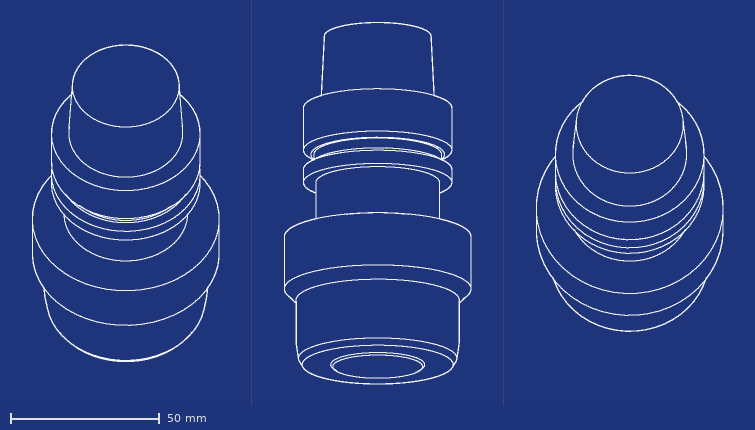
import cadquery as cq

NOSE_FACE_HEIGHT = 0.7
NOSE_BEVEL_TOP = 2.9
NOSE_TAPER_TOP = 8.5
NOSE_TOP = 23.1
BODY_BASE = 27.0
BODY_TOP = 45.2
NECK_BASE = 48.1
NECK_TOP = 64.0
LOWER_COLLAR_TOP = 68.7
GROOVE_FLARE_HEIGHT = 1.5
GROOVE_BASE = LOWER_COLLAR_TOP + GROOVE_FLARE_HEIGHT
UPPER_COLLAR_BASE = 75.3
GROOVE_TOP = UPPER_COLLAR_BASE - GROOVE_FLARE_HEIGHT
UPPER_COLLAR_TOP = 90.0
SHANK_TAPER_BASE = 91.9
TOTAL_HEIGHT = 115.0

NOSE_FACE_DIAMETER = 30.2
NOSE_FACE_RIM_DIAMETER = NOSE_FACE_DIAMETER + 2 * NOSE_FACE_HEIGHT
NOSE_BEVEL_SMALL_DIAMETER = 50.8
NOSE_BEVEL_LARGE_DIAMETER = 53.4
NOSE_DIAMETER = 55.0
BODY_DIAMETER = 62.9
NECK_DIAMETER = 41.6
COLLAR_DIAMETER = 50.0
GROOVE_DIAMETER = 43.0
GROOVE_RIM_DIAMETER = 45.0
SHANK_DIAMETER = 38.3
SHANK_END_DIAMETER = 36.0

profile = [
    (0, 0),
    (NOSE_FACE_DIAMETER, 0),
    (NOSE_FACE_RIM_DIAMETER, NOSE_FACE_HEIGHT),
    (NOSE_BEVEL_SMALL_DIAMETER, NOSE_FACE_HEIGHT),
    (NOSE_BEVEL_LARGE_DIAMETER, NOSE_BEVEL_TOP),
    (NOSE_DIAMETER, NOSE_TAPER_TOP),
    (NOSE_DIAMETER, NOSE_TOP),
    (BODY_DIAMETER, BODY_BASE),
    (BODY_DIAMETER, BODY_TOP),
    (NECK_DIAMETER, NECK_BASE),
    (NECK_DIAMETER, NECK_TOP),
    (COLLAR_DIAMETER, NECK_TOP),
    (COLLAR_DIAMETER, LOWER_COLLAR_TOP),
    (GROOVE_RIM_DIAMETER, GROOVE_BASE),
    (GROOVE_DIAMETER, GROOVE_BASE),
    (GROOVE_DIAMETER, GROOVE_TOP),
    (GROOVE_RIM_DIAMETER, GROOVE_TOP),
    (COLLAR_DIAMETER, UPPER_COLLAR_BASE),
    (COLLAR_DIAMETER, UPPER_COLLAR_TOP),
    (SHANK_DIAMETER, UPPER_COLLAR_TOP),
    (SHANK_DIAMETER, SHANK_TAPER_BASE),
    (SHANK_END_DIAMETER, TOTAL_HEIGHT),
    (0, TOTAL_HEIGHT),
]

half_outline = [(diameter / 2, height) for diameter, height in profile]
result = cq.Workplane("YZ").polyline(half_outline).close().revolve(360, (0, 0), (0, 1))